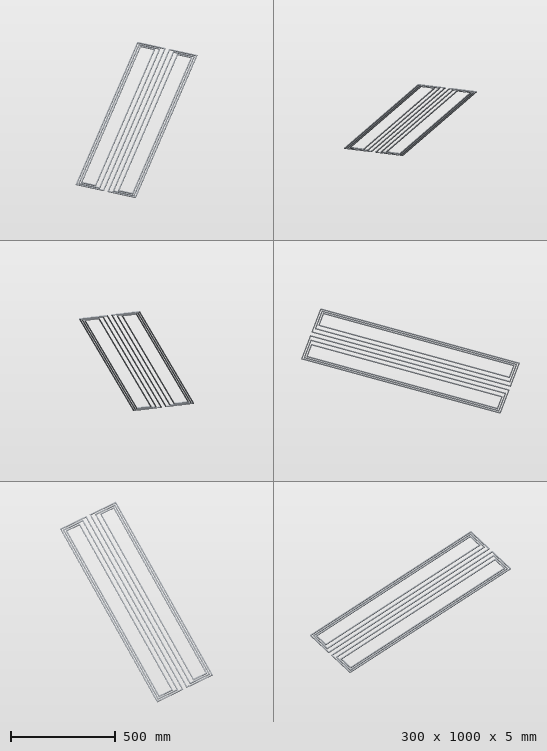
import cadquery as cq

overall_width = 300.0
overall_length = 1000.0
thickness = 5.0
strip_width = 5.0
frame_gap = 5.0
outer_inset = 9.0
middle_inset = 32.0
inner_inset = 55.0

nesting_step = strip_width + frame_gap


def rectangular_frame(side, nesting_level, inset):
    """Flat frame on one side of the centre plane (side is -1 or +1)."""
    far_edge = overall_width / 2 - nesting_level * nesting_step
    width = far_edge - inset
    length = overall_length - 2 * nesting_level * nesting_step
    center_x = side * (far_edge + inset) / 2
    return (
        cq.Workplane("XY")
        .center(center_x, 0)
        .rect(width, length)
        .rect(width - 2 * strip_width, length - 2 * strip_width)
        .extrude(thickness)
    )


def outer_frame(side):
    return rectangular_frame(side, 0, outer_inset)


def middle_frame(side):
    return rectangular_frame(side, 1, middle_inset)


def inner_frame(side):
    return rectangular_frame(side, 2, inner_inset)


frames = []
for side in (-1, 1):
    for make_frame in (outer_frame, middle_frame, inner_frame):
        frames.append(make_frame(side).val())

result = cq.Compound.makeCompound(frames)